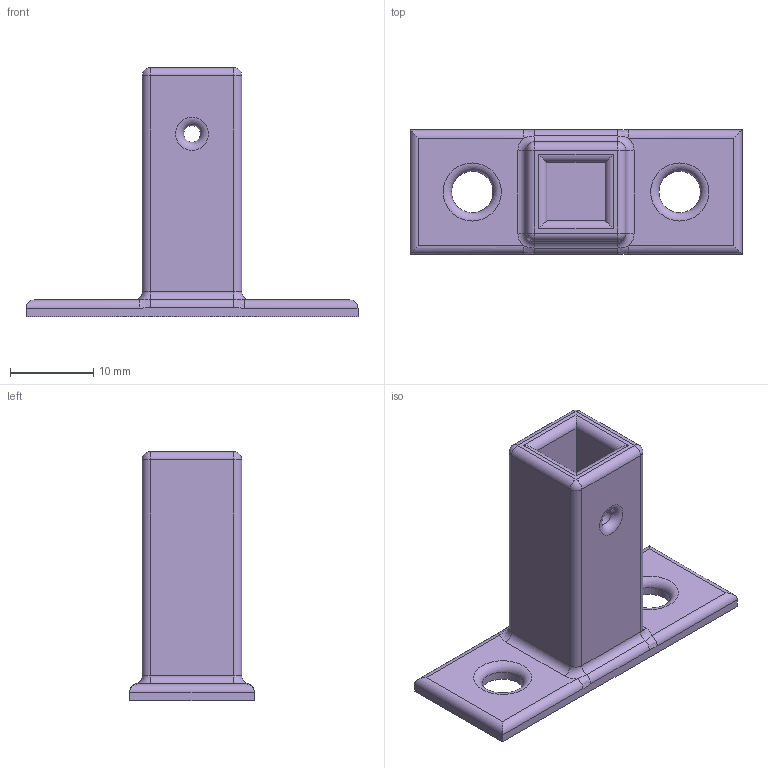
import cadquery as cq

plate_length = 40.0
plate_width = 15.0
plate_thickness = 2.0

total_height = 30.0
post_side = 12.0
socket_side = 7.0
socket_floor = plate_thickness

screw_hole_diameter = 5.0
screw_hole_spacing = 25.0

pin_hole_diameter = 2.0
pin_hole_drop = 8.0
pin_hole_height = total_height - pin_hole_drop

edge_radius = 1.0

pick_margin = 0.1


def edges_near(center, size):
    """Selector for edges whose centre lies in a box of this size, or within the margin of it."""
    low = tuple(c - s / 2 - pick_margin for c, s in zip(center, size))
    high = tuple(c + s / 2 + pick_margin for c, s in zip(center, size))
    return cq.selectors.BoxSelector(low, high)


def make_plate():
    """Flat plate with a rounded mouth on each screw hole."""
    plate = cq.Workplane("XY").box(
        plate_length, plate_width, plate_thickness, centered=(True, True, False)
    )
    plate = (
        plate.faces(">Z")
        .workplane()
        .rarray(screw_hole_spacing, 1, 2, 1)
        .hole(screw_hole_diameter)
    )
    return plate.faces(">Z").edges("%CIRCLE").fillet(edge_radius)


def make_post():
    """Square post from the plate underside up, with upright and top edges rounded."""
    post = cq.Workplane("XY").box(
        post_side, post_side, total_height, centered=(True, True, False)
    )
    return post.edges("|Z or >Z").fillet(edge_radius)


def blend_post_to_plate(body):
    """Concave fillet all round the foot of the post."""
    foot = edges_near((0, 0, plate_thickness), (post_side, post_side, 0))
    return body.edges(foot).fillet(edge_radius)


def round_plate_rim(body):
    """Round the top rim of the plate; along the long sides it rolls into the foot fillet."""
    rim = edges_near((0, 0, plate_thickness), (plate_length, plate_width, 0))
    return body.faces("<X or >X or <Y or >Y").edges(rim).fillet(edge_radius)


def cut_socket(body):
    """Blind square socket from the top, with a rounded mouth."""
    socket = (
        cq.Workplane("XY")
        .workplane(offset=socket_floor)
        .rect(socket_side, socket_side)
        .extrude(total_height - socket_floor)
    )
    mouth = edges_near((0, 0, total_height), (socket_side, socket_side, 0))
    return body.cut(socket).edges(mouth).fillet(edge_radius)


def cut_pin_hole(body):
    """Pin hole through both walls along Y, with rounded outer mouths."""
    pin = (
        cq.Workplane("XZ")
        .center(0, pin_hole_height)
        .circle(pin_hole_diameter / 2)
        .extrude(post_side, both=True)
    )
    body = body.cut(pin)
    mouth_size = (pin_hole_diameter, 0, pin_hole_diameter)
    for wall_y in (-post_side / 2, post_side / 2):
        mouth = edges_near((0, wall_y, pin_hole_height), mouth_size)
        body = body.edges(mouth).fillet(edge_radius)
    return body


body = make_plate().union(make_post())
body = blend_post_to_plate(body)
body = round_plate_rim(body)
body = cut_socket(body)
body = cut_pin_hole(body)
result = cq.Workplane("XY").newObject([body.solids().val()])